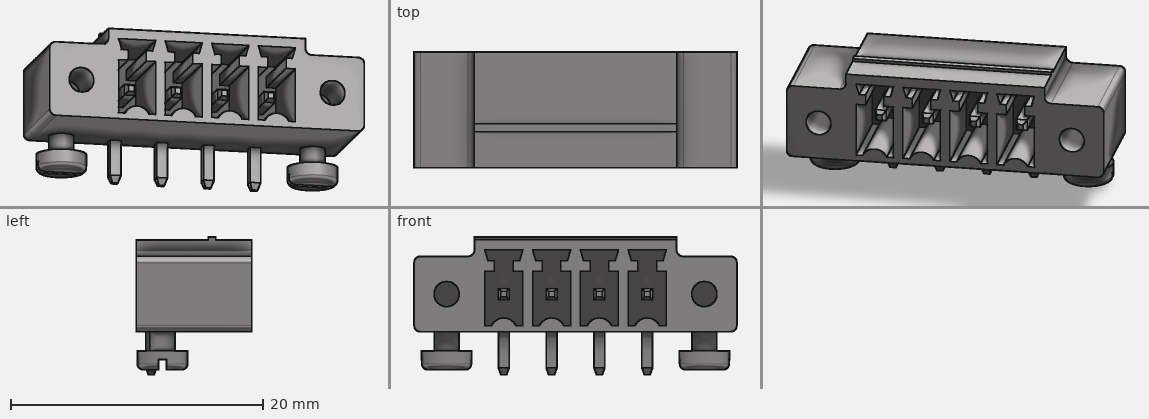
import cadquery as cq

length = 25.63
depth = 9.2
ear_height = 6.0
center_height = 7.3
center_length = 16.05
edge_radius = 0.5
front_y = -depth / 2
back_y = depth / 2

rib_top = 7.54
rib_width = 0.62
rib_setback = 2.87

contact_count = 4
pitch = 3.8
contact_z = 3.0

pocket_depth = 7.0
pocket_half_width = 1.5
pocket_floor = 0.49
shoulder_z = 4.8
neck_half_width = 0.75
neck_top = 5.65
flare_half_width = 1.25
pocket_top = 6.5
hump_half_width = 0.97
hump_height = 0.62

pin_width = 0.87
pin_tip_width = 0.45
pin_taper = 0.56
pin_bottom = -3.4
pin_recess = 2.05
pin_setback = 1.2
pin_y = back_y - pin_setback

flange_x = 10.23
flange_hole_diameter = 2.0
flange_hole_depth = 5.0
screw_y = back_y - 2.1
shank_diameter = 2.0
head_diameter = 4.0
head_top = -1.5
head_height = 1.5
head_edge_radius = 0.5
screw_slot_width = 0.62
screw_slot_depth = 0.82

contact_xs = [(i - (contact_count - 1) / 2) * pitch for i in range(contact_count)]


def front_plane(y):
    """Plane facing -Y at the given Y, with local x along X and local y along Z."""
    return cq.Workplane("XZ", origin=(0, y, 0))


def make_housing():
    half_length = length / 2
    half_center = center_length / 2
    outline = [
        (-half_length, 0),
        (half_length, 0),
        (half_length, ear_height),
        (half_center, ear_height),
        (half_center, center_height),
        (-half_center, center_height),
        (-half_center, ear_height),
        (-half_length, ear_height),
    ]
    body = front_plane(back_y).polyline(outline).close().extrude(depth)
    outer_edges = body.edges("|Y and (<X or >X)")
    margin = edge_radius / 2
    step_region = cq.selectors.BoxSelector(
        (-half_center - margin, front_y - margin, ear_height - margin),
        (half_center + margin, back_y + margin, ear_height + margin),
    )
    step_corners = body.edges(step_region).edges("|Y")
    body = outer_edges.add(step_corners).fillet(edge_radius)
    rib = cq.Workplane("XY").box(
        center_length, rib_width, rib_top - ear_height, centered=(True, False, False)
    )
    return body.union(rib.translate((0, front_y + rib_setback, ear_height)))


def make_pocket(x):
    return (
        front_plane(front_y)
        .center(x, 0)
        .moveTo(-pocket_half_width, pocket_floor)
        .lineTo(-hump_half_width, pocket_floor)
        .threePointArc((0, pocket_floor + hump_height), (hump_half_width, pocket_floor))
        .lineTo(pocket_half_width, pocket_floor)
        .lineTo(pocket_half_width, shoulder_z)
        .lineTo(neck_half_width, shoulder_z)
        .lineTo(neck_half_width, neck_top)
        .lineTo(flare_half_width, neck_top)
        .lineTo(pocket_half_width, pocket_top)
        .lineTo(-pocket_half_width, pocket_top)
        .lineTo(-flare_half_width, neck_top)
        .lineTo(-neck_half_width, neck_top)
        .lineTo(-neck_half_width, shoulder_z)
        .lineTo(-pocket_half_width, shoulder_z)
        .close()
        .extrude(-pocket_depth)
    )


def make_leg(start, total_length):
    """Square leg from a start plane along its normal, ending in a tapered tip."""
    straight = start.rect(pin_width, pin_width).extrude(total_length - pin_taper)
    tip = (
        start.workplane(offset=total_length - pin_taper)
        .rect(pin_width, pin_width)
        .workplane(offset=pin_taper)
        .rect(pin_tip_width, pin_tip_width)
        .loft(ruled=True)
    )
    return straight.union(tip)


def make_pin(x):
    forward_start = cq.Workplane("XZ", origin=(x, pin_y, contact_z))
    forward_leg = make_leg(forward_start, pin_y - front_y - pin_recess)
    down_start = cq.Workplane(cq.Plane((x, pin_y, contact_z), xDir=(1, 0, 0), normal=(0, 0, -1)))
    down_leg = make_leg(down_start, contact_z - pin_bottom)
    return forward_leg.union(down_leg)


def make_flange_hole(x):
    hole = front_plane(front_y).center(x, contact_z).circle(flange_hole_diameter / 2)
    return hole.extrude(-flange_hole_depth)


def make_screw(x):
    head_bottom = head_top - head_height
    head = (
        cq.Workplane("XY", origin=(x, screw_y, head_bottom))
        .circle(head_diameter / 2)
        .extrude(head_height)
        .faces("<Z")
        .edges()
        .fillet(head_edge_radius)
    )
    slot = cq.Workplane("XY", origin=(x, screw_y, head_bottom)).box(
        head_diameter, screw_slot_width, screw_slot_depth, centered=(True, True, False)
    )
    shank = (
        cq.Workplane("XY", origin=(x, screw_y, head_top))
        .circle(shank_diameter / 2)
        .extrude(contact_z - head_top)
    )
    return head.cut(slot).union(shank)


result = make_housing()
for contact_x in contact_xs:
    result = result.cut(make_pocket(contact_x)).union(make_pin(contact_x))
for side_x in (-flange_x, flange_x):
    result = result.cut(make_flange_hole(side_x)).union(make_screw(side_x))